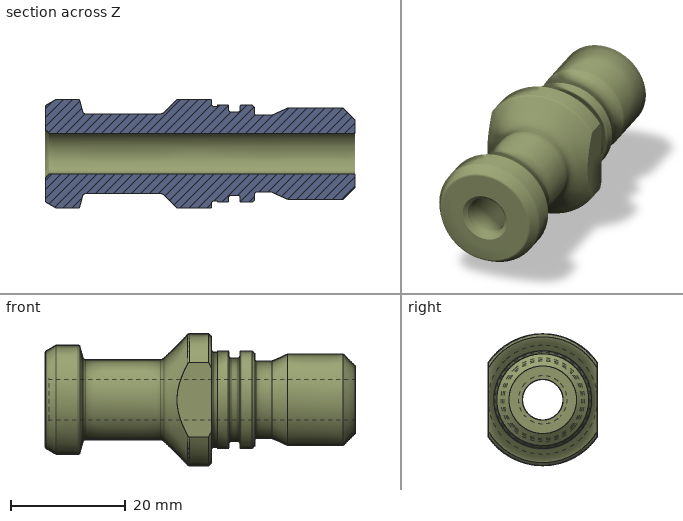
import cadquery as cq
import math

LENGTH = 54
BORE_DIA = 7
BORE_CHAMFER = 0.7

HEAD_DIA = 19.0
HEAD_FRONT_CONE_LENGTH = 1.9
HEAD_FRONT_CONE_ANGLE = 30
HEAD_BACK_X = 6.0
HEAD_BACK_CONE_ANGLE = 15
HEAD_EDGE_ROUND = 0.45
HEAD_BACK_ROUND = 0.3

NECK_DIA = 14.0
NECK_HEAD_FILLET = 0.5
NECK_FLANGE_FILLET = 0.95

FLANGE_DIA = 23.0
FLANGE_FRONT_X = 24.95
FLANGE_BACK_X = 29.0
FLANGE_EDGE_ROUND = 0.45
FLANGE_CHAMFER = 0.55
FLATS_WIDTH = HEAD_DIA

COLLAR_DIA = 16.6
RING_DIA = 17.0
FRONT_RING_X = 29.95
GROOVE_DIA = 14.6
GROOVE_START_X = 31.95
GROOVE_END_X = 33.9
GROOVE_EDGE_ROUND = 0.2
GROOVE_FILLET = 0.4
COLLAR_FILLET = 0.3
BACK_RING_END_X = 36.5
BACK_RING_CHAMFER = 0.5

UNDERCUT_DIA = 13.5
UNDERCUT_FILLET = 0.25
UNDERCUT_END_X = 39.5
SHANK_DIA = 16.0
SHANK_START_X = 42.25
SHANK_CHAMFER = 2.1


def rounded_profile(corners):
    """Closed XY outline; each corner is (x, y, rounding radius), 0 being sharp."""
    wire = None
    for i, (x, y, radius) in enumerate(corners):
        corner = cq.Vector(x, y)
        before = cq.Vector(*corners[i - 1][:2])
        after = cq.Vector(*corners[(i + 1) % len(corners)][:2])
        to_before = (before - corner).normalized()
        to_after = (after - corner).normalized()
        half_angle = to_before.getAngle(to_after) / 2
        setback = radius / math.tan(half_angle)
        start = corner + to_before * setback
        if wire is None:
            wire = cq.Workplane("XY").moveTo(start.x, start.y)
        else:
            wire = wire.lineTo(start.x, start.y)
        if radius > 0:
            bisector = (to_before + to_after).normalized()
            middle = corner + bisector * (radius / math.sin(half_angle) - radius)
            end = corner + to_after * setback
            wire = wire.threePointArc((middle.x, middle.y), (end.x, end.y))
    return wire.close()


def turned_body():
    head_r = HEAD_DIA / 2
    neck_r = NECK_DIA / 2
    flange_r = FLANGE_DIA / 2
    collar_r = COLLAR_DIA / 2
    ring_r = RING_DIA / 2
    groove_r = GROOVE_DIA / 2
    undercut_r = UNDERCUT_DIA / 2
    shank_r = SHANK_DIA / 2

    face_r = head_r - HEAD_FRONT_CONE_LENGTH * math.tan(math.radians(HEAD_FRONT_CONE_ANGLE))
    neck_start_x = HEAD_BACK_X + (head_r - neck_r) * math.tan(math.radians(HEAD_BACK_CONE_ANGLE))
    neck_end_x = FLANGE_FRONT_X - (flange_r - neck_r)

    head = [
        (0, 0, 0),
        (0, face_r, HEAD_EDGE_ROUND),
        (HEAD_FRONT_CONE_LENGTH, head_r, HEAD_EDGE_ROUND),
        (HEAD_BACK_X, head_r, HEAD_BACK_ROUND),
    ]
    neck = [
        (neck_start_x, neck_r, NECK_HEAD_FILLET),
        (neck_end_x, neck_r, NECK_FLANGE_FILLET),
    ]
    flange = [
        (FLANGE_FRONT_X, flange_r, FLANGE_EDGE_ROUND),
        (FLANGE_BACK_X - FLANGE_CHAMFER, flange_r, 0),
        (FLANGE_BACK_X, flange_r - FLANGE_CHAMFER, 0),
    ]
    rings = [
        (FLANGE_BACK_X, collar_r, COLLAR_FILLET),
        (FRONT_RING_X, collar_r, 0),
        (FRONT_RING_X, ring_r, 0),
        (GROOVE_START_X, ring_r, GROOVE_EDGE_ROUND),
        (GROOVE_START_X, groove_r, GROOVE_FILLET),
        (GROOVE_END_X, groove_r, GROOVE_FILLET),
        (GROOVE_END_X, ring_r, GROOVE_EDGE_ROUND),
        (BACK_RING_END_X - BACK_RING_CHAMFER, ring_r, 0),
        (BACK_RING_END_X, ring_r - BACK_RING_CHAMFER, 0),
    ]
    shank = [
        (BACK_RING_END_X, undercut_r, UNDERCUT_FILLET),
        (UNDERCUT_END_X, undercut_r, 0),
        (SHANK_START_X, shank_r, 0),
        (LENGTH - SHANK_CHAMFER, shank_r, 0),
        (LENGTH, shank_r - SHANK_CHAMFER, 0),
        (LENGTH, 0, 0),
    ]
    profile = rounded_profile(head + neck + flange + rings + shank)
    return profile.revolve(360, (0, 0, 0), (1, 0, 0))


def wrench_flats_envelope():
    """Slab as wide as the wrench flats, trimming only the flange in Y."""
    return cq.Workplane("XY").box(LENGTH, FLATS_WIDTH, FLANGE_DIA).translate((LENGTH / 2, 0, 0))


def bore():
    """Through bore with a countersink at the head face."""
    bore_r = BORE_DIA / 2
    outline = [
        (0, 0),
        (0, bore_r + BORE_CHAMFER),
        (BORE_CHAMFER, bore_r),
        (LENGTH, bore_r),
        (LENGTH, 0),
    ]
    return cq.Workplane("XY").polyline(outline).close().revolve(360, (0, 0, 0), (1, 0, 0))


result = turned_body().intersect(wrench_flats_envelope()).cut(bore())